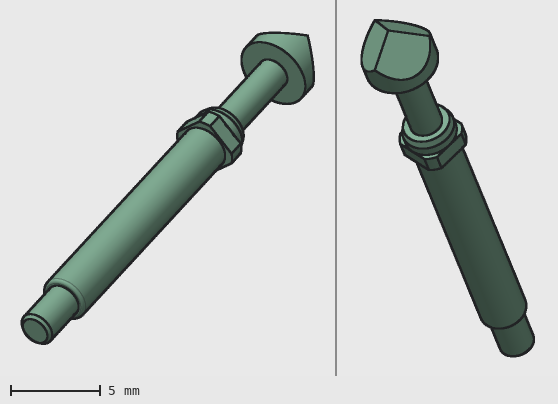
import cadquery as cq
import math

overall_length = 28.3

tip_length = 3.0
tip_diameter = 2.0
tip_chamfer = 0.2

sleeve_length = 15.0
sleeve_diameter = 2.7
sleeve_end_radius = 0.2

flange_thickness = 1.0
flange_across_flats = 3.0
flange_corner_diameter = 3.6
flange_turn = 45.0

collar_length = 1.0
collar_diameter = flange_across_flats
collar_taper_length = 0.42
collar_nose_diameter = sleeve_diameter

shank_diameter = 1.85
head_length = 3.0
head_diameter = 4.2
facet_count = 3
facet_angle = 45.0

sleeve_start = tip_length
flange_start = sleeve_start + sleeve_length
collar_start = flange_start + flange_thickness
collar_end = collar_start + collar_length
head_start = overall_length - head_length


def cylinder(diameter, start, end):
    """Round bar along Y between two stations."""
    return cq.Workplane("XZ", origin=(0, start, 0)).circle(diameter / 2).extrude(start - end)


def make_tip():
    return cylinder(tip_diameter, 0, sleeve_start).faces("<Y").chamfer(tip_chamfer)


def make_sleeve():
    return cylinder(sleeve_diameter, sleeve_start, flange_start).faces("<Y").edges().fillet(sleeve_end_radius)


def make_flange():
    square = (
        cq.Workplane("XZ", origin=(0, flange_start, 0))
        .rect(flange_across_flats, flange_across_flats)
        .extrude(-flange_thickness)
        .rotate((0, 0, 0), (0, 1, 0), flange_turn)
    )
    return square.intersect(cylinder(flange_corner_diameter, flange_start, collar_start))


def make_collar():
    taper_depth = (collar_diameter - collar_nose_diameter) / 2
    return (
        cylinder(collar_diameter, collar_start, collar_end)
        .faces(">Y")
        .chamfer(collar_taper_length, taper_depth)
    )


def make_head():
    """Cylinder whose end is cut to a three-sided point, one facet facing +X."""
    head = cylinder(head_diameter, head_start, overall_length)
    reach = head_diameter
    drop = reach * math.tan(math.radians(facet_angle))
    facet_cutter = (
        cq.Workplane("XY")
        .moveTo(0, overall_length)
        .lineTo(reach, overall_length - drop)
        .lineTo(reach, overall_length)
        .close()
        .extrude(reach, both=True)
    )
    for index in range(facet_count):
        turn = index * 360 / facet_count
        head = head.cut(facet_cutter.rotate((0, 0, 0), (0, 1, 0), turn))
    return head


result = (
    make_tip()
    .union(make_sleeve())
    .union(make_flange())
    .union(make_collar())
    .union(cylinder(shank_diameter, collar_end, head_start))
    .union(make_head())
)